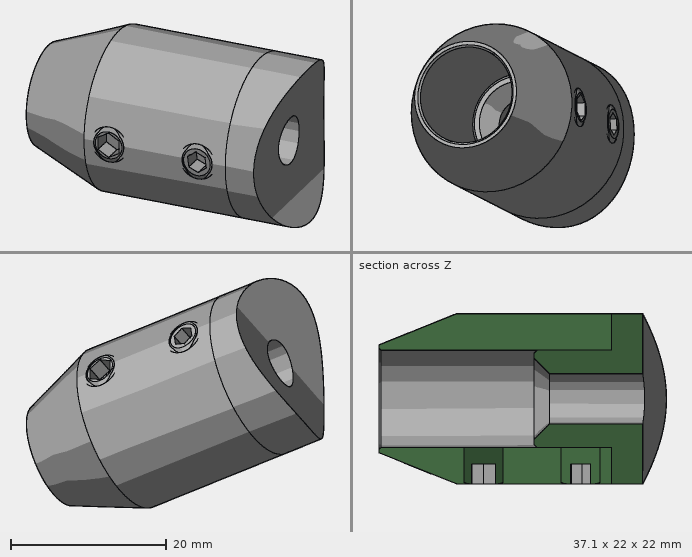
import cadquery as cq
import math

LENGTH = 37.08
BODY_RADIUS = 22.0 / 2
NOSE_RADIUS = 6.97
TAPER_LENGTH = 10.0
HOUSING_LENGTH = 30.0

BORE_RADIUS = 6.25
BORE_CHAMFER = 0.25

TUBE_RADIUS = 21.2
CUT_MARGIN = 0.37
SPIGOT_LENGTH = 10.0
SPIGOT_CHAMFER = 0.37
COUNTERSINK_RADIUS = 5.23
THROUGH_RADIUS = 3.23
COUNTERSINK_DEPTH = COUNTERSINK_RADIUS - THROUGH_RADIUS

SCREW_RADIUS = 2.5
SCREW_END_RADIUS = 1.9
SCREW_END_CHAMFER_DEPTH = 0.25
SCREW_LENGTH = BODY_RADIUS - BORE_RADIUS
SCREW_HOLE_RADIUS = 2.1
SOCKET_DEPTH = 2.6
HEX_CORNER_UP = 90.0
SCREWS = [
    (13.5, 3.0, 0.0),
    (26.0, 2.5, 7.5),
]


def revolve_about_x(profile):
    """Revolve a closed (x, radius) profile about the X axis."""
    return cq.Workplane("XY").polyline(profile).close().revolve(360, (0, 0, 0), (1, 0, 0))


def outer_face_plane(x):
    """Plane touching the -Y side of the body, with its normal pointing outward."""
    return cq.Plane(origin=(x, -BODY_RADIUS, 0), xDir=(1, 0, 0), normal=(0, -1, 0))


def make_screw_blank(x):
    """Chamfered set screw, without its socket, from the outside of the body to the bore."""
    return (
        cq.Workplane("XY", origin=(x, -BODY_RADIUS, 0))
        .polyline([
            (0, 0),
            (SCREW_END_RADIUS, 0),
            (SCREW_RADIUS, SCREW_END_CHAMFER_DEPTH),
            (SCREW_RADIUS, SCREW_LENGTH),
            (0, SCREW_LENGTH),
        ])
        .close()
        .revolve(360, (0, 0, 0), (0, 1, 0))
    )


def make_screw(x, across_flats, turn):
    """Set screw with a hex socket in its outer end."""
    across_corners = across_flats / math.cos(math.radians(30))
    socket = (
        cq.Workplane(outer_face_plane(x))
        .transformed(rotate=(0, 0, HEX_CORNER_UP + turn))
        .polygon(6, across_corners)
        .extrude(-SOCKET_DEPTH)
    )
    return make_screw_blank(x).cut(socket)


def make_saddle():
    """End piece with a spigot, a countersunk through hole and a scooped end."""
    spigot_start = HOUSING_LENGTH - SPIGOT_LENGTH
    countersink_end = spigot_start + COUNTERSINK_DEPTH
    blank = revolve_about_x([
        (spigot_start, COUNTERSINK_RADIUS),
        (spigot_start, BORE_RADIUS - SPIGOT_CHAMFER),
        (spigot_start + SPIGOT_CHAMFER, BORE_RADIUS),
        (HOUSING_LENGTH, BORE_RADIUS),
        (HOUSING_LENGTH, BODY_RADIUS),
        (LENGTH, BODY_RADIUS),
        (LENGTH, THROUGH_RADIUS),
        (countersink_end, THROUGH_RADIUS),
    ])
    tube_x = LENGTH + math.sqrt(TUBE_RADIUS**2 - BODY_RADIUS**2)
    cross_tube = (
        cq.Workplane("XZ", origin=(tube_x, 0, 0))
        .circle(TUBE_RADIUS)
        .extrude(BODY_RADIUS + CUT_MARGIN, both=True)
    )
    return blank.cut(cross_tube)


def make_housing():
    """Tapered sleeve with a chamfered bore and holes fitted to the screws."""
    housing = revolve_about_x([
        (0, BORE_RADIUS + BORE_CHAMFER),
        (0, NOSE_RADIUS),
        (TAPER_LENGTH, BODY_RADIUS),
        (HOUSING_LENGTH, BODY_RADIUS),
        (HOUSING_LENGTH, BORE_RADIUS),
        (BORE_CHAMFER, BORE_RADIUS),
    ])
    for x, _, _ in SCREWS:
        hole = cq.Workplane(outer_face_plane(x)).circle(SCREW_HOLE_RADIUS).extrude(-SCREW_LENGTH)
        housing = housing.cut(hole).cut(make_screw_blank(x))
    return housing


housing = make_housing()
saddle = make_saddle()
screws = [make_screw(*screw) for screw in SCREWS]

result = cq.Compound.makeCompound([
    housing.solids().val(),
    saddle.solids().val(),
    *[screw.solids().val() for screw in screws],
])